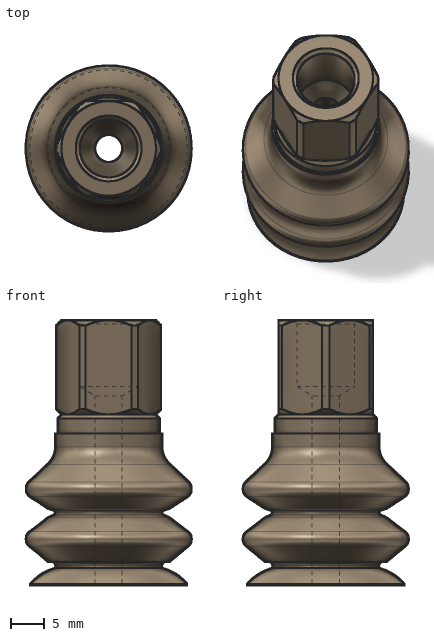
import cadquery as cq
import math

total_height = 39.3
joint_z = 22.55
passage_radius = 4.0 / 2

hex_across_flats = 14.0
hex_corner_radius = 7.8
hex_bottom_z = 25.35
hex_face_radius = hex_across_flats / 2
hex_chamfer = hex_corner_radius - hex_face_radius
collar_radius = 7.6
collar_chamfer = collar_radius - hex_face_radius
port_radius = 8.55 / 2
port_mouth_radius = 4.87
port_mouth_chamfer = port_mouth_radius - port_radius
port_depth = 9.82
port_tip_angle = 118.0

neck_radius = 7.95
neck_bottom_z = 20.5
shoulder_radius = 9.15
shoulder_z = 17.92
fold_radius = 12.3
upper_fold_top_radius = 11.85
fold_edge_radius = 11.7
upper_fold_top_z = 15.35
upper_fold_crest_z = 14.35
upper_fold_bottom_z = 13.15
lower_fold_top_z = 8.0
lower_fold_crest_z = 6.9
lower_fold_bottom_z = 5.78
waist_edge_radius = 9.0
upper_waist_top_z = 11.4
groove_radius = 8.15
groove_top_z = 11.12
groove_bottom_z = 10.5
groove_mid_z = (groove_top_z + groove_bottom_z) / 2
upper_waist_bottom_z = 10.1
lower_waist_top_z = 3.55
lower_waist_mid_z = 3.15
lip_top_z = 2.65
lip_radius = 11.65
lip_thickness = 0.28
lip_mid_radius = 10.05
lip_mid_z = 1.65


def revolve_profile(profile):
    """Turn a closed (radius, z) profile about the Z axis."""
    return profile.close().revolve(360, (0, 0, 0), (0, 1, 0))


def make_hexagon():
    """Hexagonal grip with rounded corners and both ends chamfered."""
    height = total_height - hex_bottom_z
    corner_diameter = hex_across_flats / math.cos(math.pi / 6)
    prism = (
        cq.Workplane("XY")
        .workplane(offset=hex_bottom_z)
        .polygon(6, corner_diameter)
        .extrude(height)
    )
    envelope = (
        cq.Workplane("XY")
        .workplane(offset=hex_bottom_z)
        .circle(hex_corner_radius)
        .extrude(height)
        .edges("%CIRCLE")
        .chamfer(hex_chamfer)
    )
    return prism.intersect(envelope)


def make_collar():
    """Round collar between the hexagon and the bellows."""
    return (
        cq.Workplane("XY")
        .workplane(offset=joint_z)
        .circle(collar_radius)
        .extrude(hex_bottom_z - joint_z)
        .faces(">Z")
        .edges()
        .chamfer(collar_chamfer)
    )


def make_fitting_bore():
    """Chamfered port with a conical floor leading into the air passage."""
    floor_z = total_height - port_depth
    cone_height = (port_radius - passage_radius) / math.tan(math.radians(port_tip_angle / 2))
    return revolve_profile(
        cq.Workplane("XZ")
        .moveTo(0, total_height)
        .lineTo(port_mouth_radius, total_height)
        .lineTo(port_radius, total_height - port_mouth_chamfer)
        .lineTo(port_radius, floor_z)
        .lineTo(passage_radius, floor_z - cone_height)
        .lineTo(passage_radius, joint_z)
        .lineTo(0, joint_z)
    )


def make_fitting():
    return make_hexagon().union(make_collar()).cut(make_fitting_bore())


def make_bellows():
    """Bellows suction cup, turned in one piece around the air passage."""
    return revolve_profile(
        cq.Workplane("XZ")
        .moveTo(passage_radius, joint_z)
        .lineTo(neck_radius, joint_z)
        .lineTo(neck_radius, neck_bottom_z)
        .tangentArcPoint((shoulder_radius, shoulder_z), relative=False)
        .lineTo(upper_fold_top_radius, upper_fold_top_z)
        .threePointArc((fold_radius, upper_fold_crest_z), (fold_edge_radius, upper_fold_bottom_z))
        .lineTo(waist_edge_radius, upper_waist_top_z)
        .lineTo(groove_radius, groove_top_z)
        .threePointArc((neck_radius, groove_mid_z), (groove_radius, groove_bottom_z))
        .lineTo(waist_edge_radius, upper_waist_bottom_z)
        .lineTo(fold_edge_radius, lower_fold_top_z)
        .threePointArc((fold_radius, lower_fold_crest_z), (fold_edge_radius, lower_fold_bottom_z))
        .lineTo(waist_edge_radius, lower_waist_top_z)
        .threePointArc((neck_radius, lower_waist_mid_z), (neck_radius, lip_top_z))
        .threePointArc((lip_mid_radius, lip_mid_z), (lip_radius, lip_thickness))
        .lineTo(lip_radius, 0)
        .lineTo(passage_radius, 0)
    )


fitting = make_fitting()
bellows = make_bellows()
result = cq.Compound.makeCompound([fitting.val(), bellows.val()])